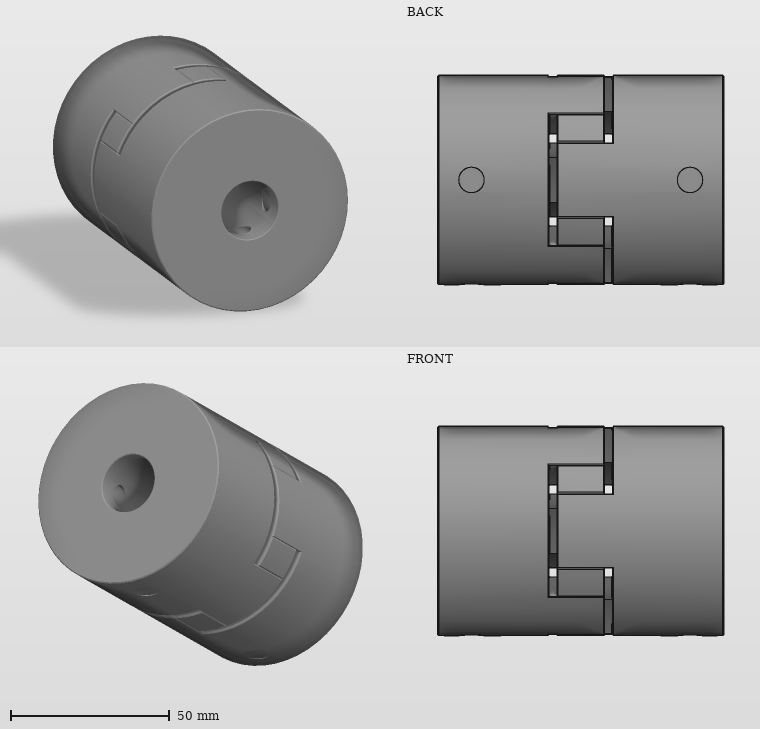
import cadquery as cq
import math


coupling_length = 90.0
hub_diameter = 66.0
bore_diameter = 19.0
bore_chamfer = 0.25
hub_gap = 20.0
edge_chamfer = 0.4

hub_radius = hub_diameter / 2
bore_radius = bore_diameter / 2
end_x = coupling_length / 2
base_x = hub_gap / 2

jaws_per_hub = 3
jaw_inner_radius = 22.0
jaw_root_fillet = 0.4
spider_width = 15.0
spider_hole_diameter = 30.0
leg_width = 11.0
leg_crown_radius = 28.6
leg_flank_radius = 21.0

leg_count = 2 * jaws_per_hub
jaw_pitch = 360 / jaws_per_hub
leg_pitch = 360 / leg_count
jaw_to_leg = leg_pitch / 2
tip_x = spider_width / 2
leg_inner_radius = (spider_hole_diameter / 2 + jaw_inner_radius) / 2

screw_diameter = 8.0
screw_end_distance = 10.6
screw_angles = (0, -90)

screw_radius = screw_diameter / 2
screw_x = end_x - screw_end_distance
screw_bottom = bore_radius
screw_top = math.sqrt(hub_radius**2 - screw_radius**2)

tolerance = 0.001


def polar(radius, angle):
    """Point in the YZ plane."""
    a = math.radians(angle)
    return (radius * math.cos(a), radius * math.sin(a))


def leg_half_angle(radius):
    """Angle from a leg centre line to its round flank at a distance from the coupling axis."""
    centre_offset = leg_width / 2 - leg_flank_radius
    centre_distance = math.hypot(leg_crown_radius, centre_offset)
    centre_angle = math.atan2(centre_offset, leg_crown_radius)
    cosine = (radius**2 + centre_distance**2 - leg_flank_radius**2) / (2 * radius * centre_distance)
    return math.degrees(centre_angle + math.acos(cosine))


def gap_half_angle(radius):
    """Angle from the centre line between two jaws of one hub to a jaw flank, which bears on a leg."""
    return jaw_pitch / 2 - jaw_to_leg + leg_half_angle(radius)


def disc(x_start, x_end, radius):
    """Cylinder on the coupling axis."""
    return cq.Workplane("YZ", origin=(x_start, 0, 0)).circle(radius).extrude(x_end - x_start)


def sector(x_start, x_end, inner, outer, half_angle, centre_angle):
    """Prism along X between two radii, with curved flanks that follow half_angle(radius)."""
    middle = (inner + outer) / 2

    def flank(radius, side):
        return polar(radius, centre_angle + side * half_angle(radius))

    return (
        cq.Workplane("YZ", origin=(x_start, 0, 0))
        .moveTo(*flank(inner, -1))
        .threePointArc(flank(middle, -1), flank(outer, -1))
        .threePointArc(polar(outer, centre_angle), flank(outer, 1))
        .threePointArc(flank(middle, 1), flank(inner, 1))
        .threePointArc(polar(inner, centre_angle), flank(inner, -1))
        .close()
        .extrude(x_end - x_start)
    )


def rim_edges(body):
    """Edges on the outside diameter, apart from a seam line that starts at the end face."""
    def on_outside(edge):
        points = edge.positions([0, 0.5, 1])
        return all(abs(math.hypot(p.y, p.z) - hub_radius) < tolerance for p in points)

    def is_seam(edge):
        return edge.geomType() == "LINE" and edge.BoundingBox().xmin < tolerance - end_x

    return [e for e in body.edges().vals() if on_outside(e) and not is_seam(e)]


def chamfer_rim(body):
    return body.newObject(rim_edges(body)).chamfer(edge_chamfer)


def screw_cylinder(angle, bottom, top):
    """Radial cylinder on a set screw axis of the -X hub, between two distances from the X axis."""
    return (
        cq.Workplane("XZ", origin=(-screw_x, bottom, 0))
        .circle(screw_radius)
        .extrude(bottom - top)
        .rotate((0, 0, 0), (1, 0, 0), angle)
    )


def make_screw(angle):
    return screw_cylinder(angle, screw_bottom, screw_top)


def jaw_gap(angle):
    """Space between two jaws of one hub; it reaches into the pocket and past the outside."""
    inner = jaw_inner_radius - 2 * jaw_root_fillet
    outer = hub_radius + edge_chamfer
    return sector(-base_x, tip_x, inner, outer, gap_half_angle, angle)


def jaw_pocket():
    """Round space inside the jaws, with a rounded floor corner."""
    return disc(-base_x, tip_x, jaw_inner_radius).faces("<X").edges().fillet(jaw_root_fillet)


def jaw_roots(hub):
    """Edges where the jaw flanks meet the base face."""
    return [
        e for e in hub.edges("%CIRCLE").vals()
        if abs(e.Center().x + base_x) < tolerance and abs(e.radius() - leg_flank_radius) < tolerance
    ]


def make_hub(first_jaw_angle):
    """Hub on the -X side, with its first jaw at the given angle."""
    hub = disc(-end_x, tip_x, hub_radius)
    for i in range(jaws_per_hub):
        hub = hub.cut(jaw_gap(first_jaw_angle + (i + 0.5) * jaw_pitch))
    hub = chamfer_rim(hub)
    hub = hub.newObject(jaw_roots(hub)).fillet(jaw_root_fillet)
    hub = hub.cut(jaw_pocket())

    hub = hub.cut(disc(-end_x, tip_x, bore_radius))
    bore_mouth = hub.faces("<X").edges(cq.selectors.RadiusNthSelector(0))
    hub = bore_mouth.chamfer(bore_chamfer)

    for angle in screw_angles:
        hub = hub.cut(screw_cylinder(angle, 0, hub_radius))
    return hub


def spider_leg(angle):
    return chamfer_rim(sector(-tip_x, tip_x, leg_inner_radius, hub_radius, leg_half_angle, angle))


def make_spider():
    spider = disc(-tip_x, tip_x, jaw_inner_radius).cut(disc(-tip_x, tip_x, spider_hole_diameter / 2))
    for i in range(leg_count):
        spider = spider.union(spider_leg(jaw_to_leg + i * leg_pitch))
    return spider


left_hub = make_hub(0)
right_hub = make_hub(jaw_pitch / 2).mirror("YZ")
spider = make_spider()
left_screws = [make_screw(angle) for angle in screw_angles]
right_screws = [screw.mirror("YZ") for screw in left_screws]

bodies = [left_hub, right_hub, spider, *left_screws, *right_screws]
result = cq.Compound.makeCompound([body.val() for body in bodies])